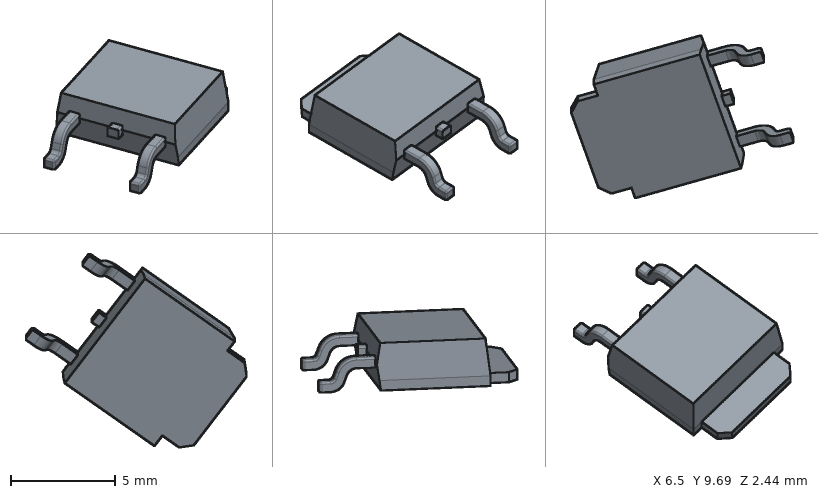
import cadquery as cq
import math

total_length = 9.69

package_width = 6.5
package_length = 5.51
package_height = 2.31
base_height = 0.5
side_taper = 0.2
front_taper = 0.18
parting_height = 1.27
lead_level = 1.25

tab_width = 5.28
tab_length = 1.5
tab_chamfer = 0.5

metal_offset = 0.03
lead_pitch = 2.3
lead_width = 0.6
lead_thickness = 0.5
lead_rounding = 0.1
lead_straight = 0.89
standoff = 0.13
bend_angle = math.radians(70)
upper_bend_radius = 0.76
lower_bend_radius = 0.47
stub_length = 0.41

lead_reach = total_length - package_length - tab_length
root_depth = 2 * front_taper


def make_package():
    """Tapered block with a wedge-shaped front and a chamfered tab at the back."""
    half_width = package_width / 2
    half_top = half_width - side_taper
    cross_section = (
        cq.Workplane("XZ")
        .polyline([
            (-half_width, 0),
            (half_width, 0),
            (half_width, base_height),
            (half_top, package_height),
            (-half_top, package_height),
            (-half_width, base_height),
        ])
        .close()
        .extrude(-package_length)
    )
    side_outline = (
        cq.Workplane("YZ")
        .polyline([
            (front_taper, 0),
            (package_length, 0),
            (package_length, base_height),
            (package_length - side_taper, package_height),
            (front_taper, package_height),
            (0, parting_height),
        ])
        .close()
        .extrude(half_width, both=True)
    )
    tab = (
        cq.Workplane("XY")
        .center(metal_offset, package_length + tab_length / 2)
        .rect(tab_width, tab_length)
        .extrude(base_height)
        .edges("|Z and >Y")
        .chamfer(tab_chamfer)
    )
    return cross_section.intersect(side_outline).union(tab)


def lead_path():
    """Middle line of a lead: straight, bent down, sloping, bent level, foot."""
    foot_level = lead_thickness / 2 - standoff
    drop = lead_level - foot_level
    bend_rise = 1 - math.cos(bend_angle)
    slope_drop = drop - (upper_bend_radius + lower_bend_radius) * bend_rise
    slope_run = slope_drop / math.tan(bend_angle)

    upper_start = -lead_straight
    slope_start_y = upper_start - upper_bend_radius * math.sin(bend_angle)
    slope_start_z = lead_level - upper_bend_radius * bend_rise
    slope_end_y = slope_start_y - slope_run
    slope_end_z = slope_start_z - slope_drop
    foot_start = slope_end_y - lower_bend_radius * math.sin(bend_angle)
    return (
        cq.Workplane("YZ")
        .moveTo(root_depth, lead_level)
        .lineTo(upper_start, lead_level)
        .tangentArcPoint((slope_start_y, slope_start_z), relative=False)
        .lineTo(slope_end_y, slope_end_z)
        .tangentArcPoint((foot_start, foot_level), relative=False)
        .lineTo(-lead_reach, foot_level)
    )


def lead_section():
    """Cross-section of a lead at its root, inside the package."""
    return (
        cq.Workplane("XZ", origin=(0, root_depth, lead_level))
        .rect(lead_width, lead_thickness)
    )


def make_lead(x, package):
    """Gull-wing lead with rounded upper edges and a rounded toe."""
    bar = lead_section().sweep(lead_path())
    toe_edges = bar.faces("<Y").edges("not <Z")
    upper_edges = bar.edges("|Y").edges(">Z")
    rounded = toe_edges.add(upper_edges).fillet(lead_rounding)
    return rounded.translate((x, 0, 0)).cut(package)


def make_stub(x, package):
    """Short straight end of the middle lead, with a plain cut face."""
    bar = (
        lead_section()
        .extrude(root_depth + stub_length)
        .edges("|Y and >Z")
        .fillet(lead_rounding)
    )
    return bar.translate((x, 0, 0)).cut(package)


package = make_package()
leads = [make_lead(metal_offset + side * lead_pitch, package) for side in (-1, 1)]
stub = make_stub(metal_offset, package)

result = cq.Compound.makeCompound([
    package.solids().val(),
    *[lead.solids().val() for lead in leads],
    stub.solids().val(),
])